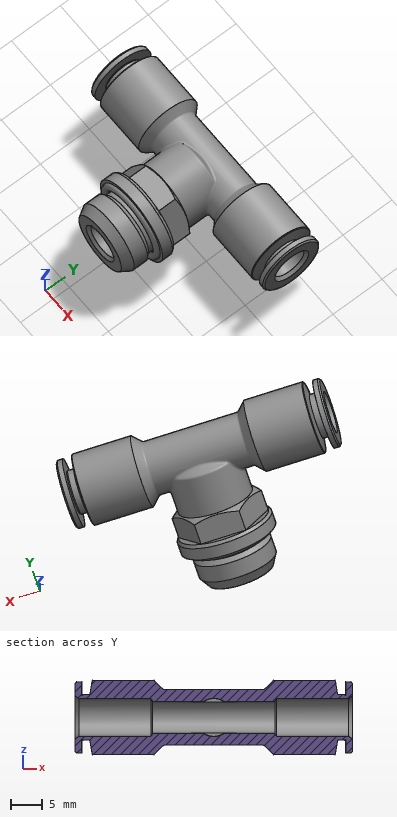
import cadquery as cq
import math


run_half_length = 22.2
neck_radius = 4.5
body_radius = 6.0
body_cone_length = body_radius - neck_radius
body_cone_start = 9.55
body_cone_end = body_cone_start - body_cone_length
body_rim_start = 19.35
body_rim_end = 19.5
body_rim_radius = 5.85
body_face_end = 19.85
neck_blend_radius = 0.45

collet_radius = 5.73
collet_back = 21.1
collet_chamfer = 0.25
collet_tube_radius = 3.7
collet_root_radius = 3.55
collet_root_start = 20.85

run_bore_radius = 2.5
tube_bore_radius = 2.97
tube_stop_distance = 9.75
port_mouth_radius = 3.45
port_chamfer_length = 0.6
tube_stop_cone_length = (tube_bore_radius - run_bore_radius) / math.tan(math.radians(60))

barrel_radius = 6.25
barrel_crown_start = 1.6
barrel_crown_length = 1.35
barrel_crown_drop = 2.2
barrel_edge_round = 0.45
barrel_blend_radius = 0.45

hex_across_flats = 13.05
hex_corner_radius = hex_across_flats / 2 / math.cos(math.radians(30))
hex_start = 8.4
hex_chamfer_angle = 30.0

flange_start = 12.5
flange_end = 15.05
flange_radius = 8.0
flange_chamfer_length = 0.55
flange_chamfer_inset = 0.35
seal_ring_radius = 6.65
seal_section_radius = 0.7
groove_radius = 5.75
groove_end = 16.2
thread_radius = 6.53
thread_start = groove_end + thread_radius - groove_radius
thread_chamfer_start = 19.7
stem_end = 21.5
stem_end_radius = 5.45
stem_bore_radius = 3.0
stem_mouth_radius = 3.55
stem_chamfer_length = 0.55


def revolve_about_branch(outline):
    """Turn a closed XY outline into a solid of revolution about the Y axis."""
    return outline.close().revolve(360, (0, 0, 0), (0, 1, 0))


def revolve_about_run(points):
    """Turn (distance, radius) points into a solid of revolution about the X axis."""
    return cq.Workplane("XY").polyline(points).close().revolve(360, (0, 0, 0), (1, 0, 0))


def on_both_ends(half):
    """Join a +X feature with its mirror image on the -X end."""
    return half.union(half.mirror("YZ"))


def make_neck_and_barrel():
    """Run neck joined by the cone-ended branch barrel, with a blend where they meet."""
    neck = cq.Workplane("YZ").circle(neck_radius).extrude(body_cone_start, both=True)
    crown_end = barrel_crown_start - barrel_crown_length
    barrel = revolve_about_branch(
        cq.Workplane("XY")
        .moveTo(0, -crown_end)
        .lineTo(barrel_radius - barrel_crown_drop, -crown_end)
        .lineTo(barrel_radius, -barrel_crown_start)
        .lineTo(barrel_radius, -hex_start)
        .lineTo(0, -hex_start)
    )
    crown_edge = cq.selectors.RadiusNthSelector(1)
    behind_hexagon = cq.selectors.BoxSelector(
        (-body_radius * 2, -hex_start + 0.45, -body_radius * 2),
        (body_radius * 2, body_radius, body_radius * 2),
        boundingbox=True,
    )
    barrel = barrel.edges("%CIRCLE").edges(behind_hexagon).edges(crown_edge).fillet(barrel_edge_round)
    return neck.union(barrel).edges("%BSPLINE").fillet(barrel_blend_radius)


def make_port_bodies():
    """Sleeve and release collet on each end of the run, blended into the neck."""
    blend_reach = neck_blend_radius * math.tan(math.radians(22.5))
    blend_leg = blend_reach * math.cos(math.radians(45))
    blend_end = body_cone_end - blend_reach
    blend_center = (blend_end, neck_radius + neck_blend_radius)
    blend_middle = (
        blend_center[0] + neck_blend_radius * math.sin(math.radians(22.5)),
        blend_center[1] - neck_blend_radius * math.cos(math.radians(22.5)),
    )
    sleeve = (
        cq.Workplane("XY")
        .moveTo(blend_end, 0)
        .lineTo(blend_end, neck_radius)
        .threePointArc(blend_middle, (body_cone_end + blend_leg, neck_radius + blend_leg))
        .lineTo(body_cone_start, body_radius)
        .lineTo(body_rim_start, body_radius)
        .lineTo(body_rim_end, body_rim_radius)
        .lineTo(body_face_end, collet_tube_radius)
        .lineTo(body_face_end, 0)
        .close()
        .revolve(360, (0, 0, 0), (1, 0, 0))
    )
    collet = revolve_about_run([
        (body_rim_start, 0),
        (body_rim_start, collet_tube_radius),
        (collet_root_start, collet_tube_radius),
        (collet_back, collet_root_radius),
        (collet_back, collet_radius),
        (run_half_length - collet_chamfer, collet_radius),
        (run_half_length, collet_radius - collet_chamfer),
        (run_half_length, 0),
    ])
    return on_both_ends(sleeve.union(collet))


def make_hexagon():
    """Hexagonal wrench section, chamfered down to the barrel on the side facing the run."""
    hexagon = (
        cq.Workplane("XZ", origin=(0, -hex_start, 0))
        .polygon(6, 2 * hex_corner_radius)
        .extrude(flange_start - hex_start)
    )
    corner_overhang = hex_corner_radius - barrel_radius
    chamfer_length = corner_overhang * math.tan(math.radians(hex_chamfer_angle))
    turned_blank = revolve_about_branch(
        cq.Workplane("XY")
        .moveTo(0, -hex_start)
        .lineTo(barrel_radius, -hex_start)
        .lineTo(hex_corner_radius, -hex_start - chamfer_length)
        .lineTo(hex_corner_radius, -flange_start)
        .lineTo(0, -flange_start)
    )
    return hexagon.intersect(turned_blank)


def make_stem():
    """Flange, half-round seal ring, relief groove and threaded end as one turned shape."""
    return revolve_about_branch(
        cq.Workplane("XY")
        .moveTo(0, -flange_start)
        .lineTo(flange_radius - flange_chamfer_inset, -flange_start)
        .lineTo(flange_radius, -flange_start - flange_chamfer_length)
        .lineTo(flange_radius, -flange_end)
        .lineTo(seal_ring_radius + seal_section_radius, -flange_end)
        .threePointArc(
            (seal_ring_radius, -flange_end - seal_section_radius),
            (seal_ring_radius - seal_section_radius, -flange_end),
        )
        .lineTo(groove_radius, -flange_end)
        .lineTo(groove_radius, -groove_end)
        .lineTo(thread_radius, -thread_start)
        .lineTo(thread_radius, -thread_chamfer_start)
        .lineTo(stem_end_radius, -stem_end)
        .lineTo(0, -stem_end)
    )


def make_run_bore():
    """Through bore of the run with a wider tube socket and chamfered mouth at each end."""
    half_bore = revolve_about_run([
        (0, 0),
        (0, run_bore_radius),
        (tube_stop_distance, run_bore_radius),
        (tube_stop_distance + tube_stop_cone_length, tube_bore_radius),
        (run_half_length - port_chamfer_length, tube_bore_radius),
        (run_half_length, port_mouth_radius),
        (run_half_length, 0),
    ])
    return on_both_ends(half_bore)


def make_stem_bore():
    """Bore of the stem, reaching the run axis, with a chamfered mouth."""
    return revolve_about_branch(
        cq.Workplane("XY")
        .lineTo(stem_bore_radius, 0)
        .lineTo(stem_bore_radius, -stem_end + stem_chamfer_length)
        .lineTo(stem_mouth_radius, -stem_end)
        .lineTo(0, -stem_end)
    )


outside = make_neck_and_barrel().union(make_port_bodies()).union(make_hexagon()).union(make_stem())
result = outside.cut(make_run_bore()).cut(make_stem_bore())